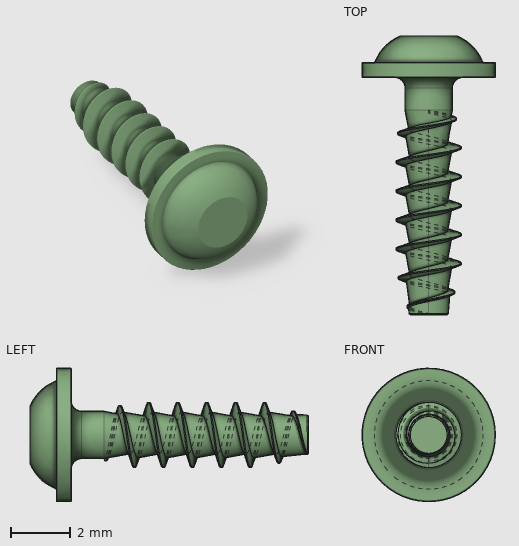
import cadquery as cq
import math


flange_radius = 2.25
flange_thickness = 0.5
flange_edge_break = 0.03
head_height = 1.4
dome_base_radius = 1.83
dome_top_radius = 0.95
dome_bulge = 0.13

screw_length = 8.0
shank_radius = 0.8
shank_length = 1.1
neck_fillet = 0.35

core_radius = 0.65
tip_face_radius = 0.62
shoulder_radius = 0.775
neck_cone_length = 0.8

pitch = 0.976
crest_radius = 1.1
crest_flat = 0.04
head_flank_width = 0.13
tip_flank_width = 0.11
thread_start_depth = 1.147
thread_turns = 7.0
start_crest_radius = 0.88
end_crest_radius = core_radius + 0.01
end_shoulder_radius = core_radius + 0.005
run_in_turns = 1.0
run_out_turns = 1.5
start_angle = -90.0

ridge_inner_radius = 0.5
ridge_root_radius = core_radius - 0.005
turn_clearance = 0.006

segments_per_turn = 2
points_per_segment = 8


def make_head():
    """Flange with a flat-topped dome."""
    flange = (
        cq.Workplane("XZ")
        .circle(flange_radius)
        .extrude(-flange_thickness)
        .edges()
        .fillet(flange_edge_break)
    )
    dome_height = head_height - flange_thickness
    dome_run = dome_base_radius - dome_top_radius
    chord = math.hypot(dome_run, dome_height)
    arc_mid = (
        (dome_base_radius + dome_top_radius) / 2 + dome_bulge * dome_height / chord,
        (flange_thickness + head_height) / 2 + dome_bulge * dome_run / chord,
    )
    dome = (
        cq.Workplane("XY")
        .moveTo(0, flange_thickness / 2)
        .lineTo(dome_base_radius, flange_thickness / 2)
        .lineTo(dome_base_radius, flange_thickness)
        .threePointArc(arc_mid, (dome_top_radius, head_height))
        .lineTo(0, head_height)
        .close()
        .revolve(360, (0, 0), (0, 1))
    )
    return flange.union(dome)


def make_shank():
    """Neck fillet, plain shank, cone and core cylinder in one revolution."""
    fillet_outer = shank_radius + neck_fillet
    fillet_offset = neck_fillet * (1 - math.sqrt(0.5))
    return (
        cq.Workplane("XY")
        .moveTo(0, flange_thickness / 2)
        .lineTo(fillet_outer, flange_thickness / 2)
        .lineTo(fillet_outer, 0)
        .threePointArc((shank_radius + fillet_offset, -fillet_offset), (shank_radius, -neck_fillet))
        .lineTo(shank_radius, -shank_length)
        .lineTo(core_radius, -shank_length - neck_cone_length)
        .lineTo(core_radius, -screw_length)
        .lineTo(0, -screw_length)
        .close()
        .revolve(360, (0, 0), (0, 1))
    )


def crest_radius_at(turn):
    """Crest radius at a number of turns from the thread start."""
    run_in = min(1.0, turn / run_in_turns)
    run_out = min(1.0, (thread_turns - turn) / run_out_turns)
    risen = start_crest_radius + run_in * (crest_radius - start_crest_radius)
    return end_crest_radius + run_out * (risen - end_crest_radius)


def shoulder_radius_at(turn):
    """Shoulder radius at a number of turns, sinking together with the crest."""
    run_out = min(1.0, (thread_turns - turn) / run_out_turns)
    return end_shoulder_radius + run_out * (shoulder_radius - end_shoulder_radius)


def head_root_depth(turn):
    """Depth of the thread root on the head side; the flank keeps its slope as the crest sinks."""
    sunk_turn = min(turn, thread_turns)
    height = (crest_radius_at(sunk_turn) - ridge_root_radius) / (crest_radius - ridge_root_radius)
    return thread_start_depth + pitch * turn - crest_flat / 2 - head_flank_width * height


def ridge_section(turn):
    """Corners (radius, depth) of the ridge at a number of turns from its start."""
    crest = crest_radius_at(turn)
    shoulder = shoulder_radius_at(turn)
    crest_end = thread_start_depth + pitch * turn + crest_flat / 2
    tip_flank = tip_flank_width * (crest - shoulder) / (crest_radius - shoulder_radius)
    top = head_root_depth(turn)
    bottom = head_root_depth(turn + 1) - turn_clearance
    return [
        (ridge_inner_radius, top),
        (ridge_root_radius, top),
        (crest, crest_end - crest_flat),
        (crest, crest_end),
        (shoulder, crest_end + tip_flank),
        (ridge_root_radius, bottom),
        (ridge_inner_radius, bottom),
    ]


def ridge_corner(turn, index):
    """Position in space of one corner of the ridge section."""
    radius, depth = ridge_section(turn)[index]
    angle = math.radians(start_angle) + 2 * math.pi * turn
    return cq.Vector(radius * math.cos(angle), -depth, radius * math.sin(angle))


def make_ridge():
    """Thread and tapered shoulder as one helical solid of ruled faces."""
    corners = range(len(ridge_section(0)))
    faces = []
    for segment in range(round(thread_turns * segments_per_turn)):
        turns = [
            (segment + point / points_per_segment) / segments_per_turn
            for point in range(points_per_segment + 1)
        ]
        rails = [
            cq.Edge.makeSpline([ridge_corner(turn, index) for turn in turns]) for index in corners
        ]
        faces += [cq.Face.makeRuledSurface(rails[index - 1], rails[index]) for index in corners]
    for turn in (0, thread_turns):
        outline = cq.Wire.makePolygon([ridge_corner(turn, index) for index in corners], close=True)
        faces.append(cq.Face.makeFromWires(outline))
    return cq.Workplane(cq.Solid.makeSolid(cq.Shell.makeShell(faces)))


def make_tip_cutter():
    """Space beyond the flat tip and its 45 degree edge break."""
    cutter_length = 2 * pitch
    cone_rise = crest_radius - tip_face_radius
    return (
        cq.Workplane("XY")
        .moveTo(0, -screw_length)
        .lineTo(tip_face_radius, -screw_length)
        .lineTo(crest_radius, -screw_length + cone_rise)
        .lineTo(crest_radius, -screw_length - cutter_length)
        .lineTo(0, -screw_length - cutter_length)
        .close()
        .revolve(360, (0, 0), (0, 1))
    )


threaded_shank = make_shank().union(make_ridge()).cut(make_tip_cutter())
result = make_head().union(threaded_shank)